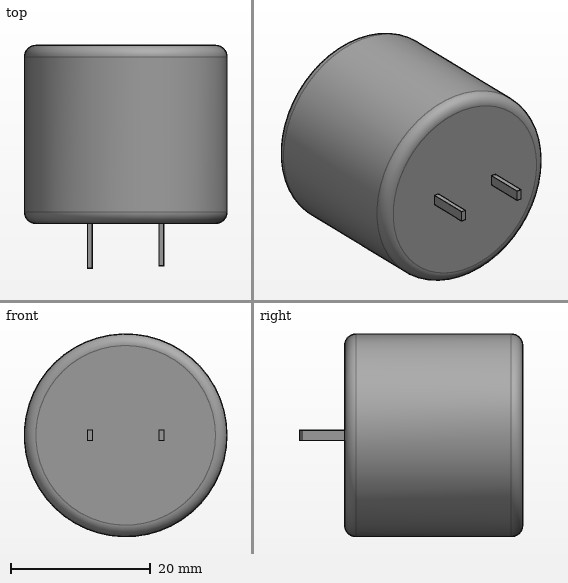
import cadquery as cq

overall_length = 31.9
can_diameter = 29.0
can_length = 25.5
edge_radius = 1.65

pin_width = 0.7
pin_height = 1.5
pin_spacing = 10.2
long_pin_length = overall_length - can_length
short_pin_length = 6.05
pin_embed = 0.32


def make_can():
    """Cylinder from Y = 0 to Y = can_length with both rims rounded."""
    return (
        cq.Workplane("XZ")
        .circle(can_diameter / 2)
        .extrude(-can_length)
        .edges("%CIRCLE")
        .fillet(edge_radius)
    )


def make_pin(x_center, length):
    """Rectangular pin reaching from inside the can to Y = -length."""
    return (
        cq.Workplane("XZ", origin=(x_center, pin_embed, 0))
        .rect(pin_width, pin_height)
        .extrude(length + pin_embed)
    )


result = (
    make_can()
    .union(make_pin(-pin_spacing / 2, long_pin_length))
    .union(make_pin(pin_spacing / 2, short_pin_length))
)